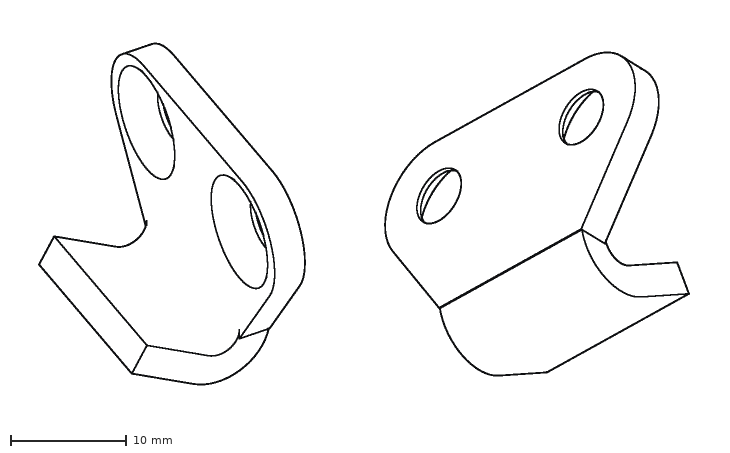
import cadquery as cq
import math

plate_width = 29.97
thickness = 3.0
corner_radius = 6.0
overall_height = 22.0
overall_depth = 13.6
tab_width = 17.02
plate_height = 17.98
hole_spacing = tab_width
hole_diameter = 5.3
countersink_diameter = 10.35
countersink_angle = 90.0
inner_bend_radius = 2.0
leg_angle = 30.0

outer_bend_radius = inner_bend_radius + thickness
corner_x = plate_width / 2 - corner_radius
plate_bottom = corner_radius - plate_height
bend_y = -outer_bend_radius
bend_z = corner_radius - overall_height + outer_bend_radius


def corner_point(angle):
    """Point on the right-hand corner arc, angle in radians from +X."""
    return (corner_x + corner_radius * math.cos(angle), corner_radius * math.sin(angle))


def make_plate():
    """Plate with round upper corners and sides running tangentially to the tab."""
    foot_x = tab_width / 2
    dx = foot_x - corner_x
    dz = plate_bottom
    tangent_angle = math.atan2(dz, dx) + math.acos(corner_radius / math.hypot(dx, dz))
    tangent_x, tangent_z = corner_point(tangent_angle)
    middle_x, middle_z = corner_point((tangent_angle + math.pi / 2) / 2)
    return (
        cq.Workplane("XZ")
        .moveTo(-foot_x, plate_bottom)
        .lineTo(foot_x, plate_bottom)
        .lineTo(tangent_x, tangent_z)
        .threePointArc((middle_x, middle_z), (corner_x, corner_radius))
        .lineTo(-corner_x, corner_radius)
        .threePointArc((-middle_x, middle_z), (-tangent_x, tangent_z))
        .close()
        .extrude(thickness)
    )


def bend_point(radius, angle):
    """(Y, Z) point on the bend, angle in degrees from the back, through the bottom."""
    a = math.radians(angle)
    return (bend_y + radius * math.cos(a), bend_z - radius * math.sin(a))


def make_hook():
    """Constant-thickness bend followed by a straight rising leg."""
    sweep = 90 + leg_angle
    outer_end = bend_point(outer_bend_radius, sweep)
    inner_end = bend_point(inner_bend_radius, sweep)
    leg_y = -overall_depth - outer_end[0]
    leg_z = -leg_y * math.tan(math.radians(leg_angle))
    return (
        cq.Workplane("YZ")
        .moveTo(*bend_point(outer_bend_radius, 0))
        .threePointArc(bend_point(outer_bend_radius, sweep / 2), outer_end)
        .lineTo(outer_end[0] + leg_y, outer_end[1] + leg_z)
        .lineTo(inner_end[0] + leg_y, inner_end[1] + leg_z)
        .lineTo(*inner_end)
        .threePointArc(bend_point(inner_bend_radius, sweep / 2), bend_point(inner_bend_radius, 0))
        .close()
        .extrude(tab_width / 2, both=True)
    )


plate = (
    make_plate()
    .faces("<Y")
    .workplane(origin=(0, -thickness, 0))
    .pushPoints([(-hole_spacing / 2, 0), (hole_spacing / 2, 0)])
    .cskHole(hole_diameter, countersink_diameter, countersink_angle)
)
result = plate.union(make_hook())